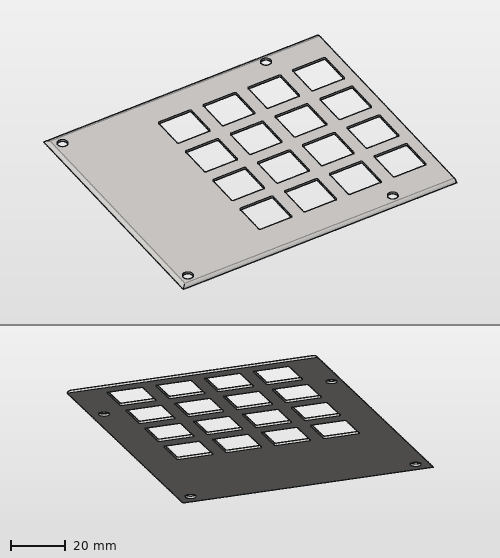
import cadquery as cq
import math

width = 97.8
length = 116.48
thickness = 1.0

rim_radius = 2.0
rim_width = math.sqrt(rim_radius**2 - (rim_radius - thickness) ** 2)

key_count = 4
key_pitch = 19.05
key_size = 14.0
key_corner_radius = 0.5
key_left_margin = 13.0
key_back_margin = 4.6

hole_diameter = 4.0
hole_side_inset = 5.0
hole_back_left_inset = 4.0
hole_front_inset = 5.0
hole_back_inset = 24.25

hole_centers = [
    (hole_side_inset, hole_front_inset),
    (width - hole_side_inset, hole_front_inset),
    (hole_back_left_inset, length - hole_back_inset),
    (width - hole_side_inset, length - hole_back_inset),
]


def rounded_section(profile_plane, span, depth):
    """Extrude a section that is rounded at both ends of its span."""
    half_angle = math.asin(rim_width / rim_radius) / 2
    mid_inset = rim_width - rim_radius * math.sin(half_angle)
    mid_height = thickness - rim_radius * (1 - math.cos(half_angle))
    return (
        cq.Workplane(profile_plane)
        .moveTo(0, 0)
        .threePointArc((mid_inset, mid_height), (rim_width, thickness))
        .lineTo(span - rim_width, thickness)
        .threePointArc((span - mid_inset, mid_height), (span, 0))
        .close()
        .extrude(depth)
    )


def make_plate():
    """Intersect two rounded sections so the rims meet in mitred front corners."""
    across = rounded_section("XZ", width, -length)
    along = rounded_section("YZ", length + rim_width, width)
    return across.intersect(along)


def make_key_windows():
    """Grid of square cutters with rounded corners."""
    half_grid = ((key_count - 1) * key_pitch + key_size) / 2
    grid_center = (key_left_margin + half_grid, length - key_back_margin - half_grid)
    return (
        cq.Workplane("XY")
        .center(*grid_center)
        .rarray(key_pitch, key_pitch, key_count, key_count)
        .rect(key_size, key_size)
        .extrude(thickness)
        .edges("|Z")
        .fillet(key_corner_radius)
    )


def make_screw_holes():
    """Cutters for the four through holes."""
    return cq.Workplane("XY").pushPoints(hole_centers).circle(hole_diameter / 2).extrude(thickness)


result = make_plate().cut(make_key_windows()).cut(make_screw_holes())